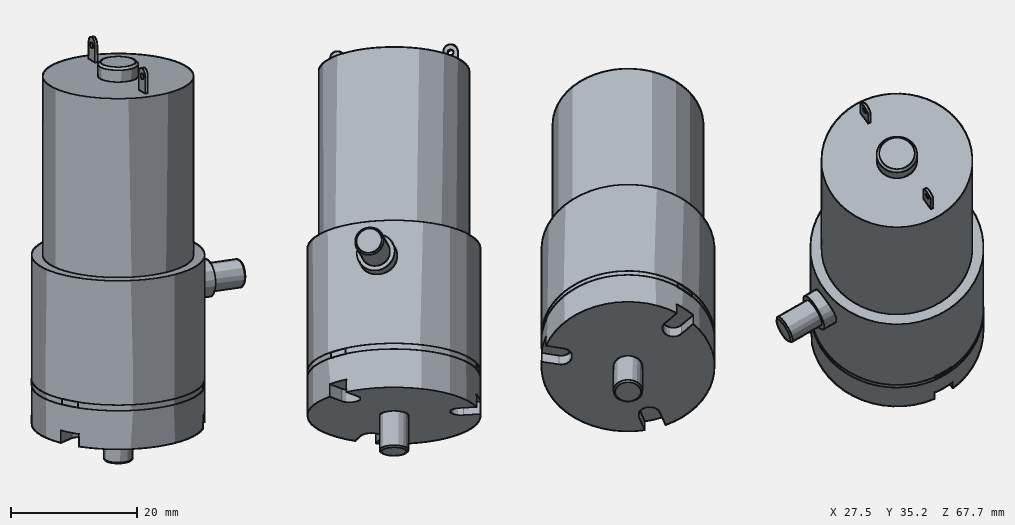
import cadquery as cq
import math

BASE_BOTTOM = 6.0
BASE_HEIGHT = 6.4
RING_HEIGHT = 0.95
HOUSING_HEIGHT = 20.65
MOTOR_HEIGHT = 29.7
TOTAL_HEIGHT = 67.7
RING_BOTTOM = BASE_BOTTOM + BASE_HEIGHT
HOUSING_BOTTOM = RING_BOTTOM + RING_HEIGHT
MOTOR_BOTTOM = HOUSING_BOTTOM + HOUSING_HEIGHT
MOTOR_TOP = MOTOR_BOTTOM + MOTOR_HEIGHT

BODY_DIAMETER = 27.5
BODY_RADIUS = BODY_DIAMETER / 2
MOTOR_DIAMETER = 23.95
BOSS_DIAMETER = 6.4
BOSS_HEIGHT = 2.4
BOSS_CHAMFER = 0.4
SPIGOT_DIAMETER = 4.6
SPIGOT_CHAMFER = 0.3

NOTCH_ANGLES = (60, 180, 300)
NOTCH_WIDTH = 3.45
NOTCH_HEIGHT = 2.1
NOTCH_END_CENTRE = 10.8
RECESS_WIDTH = 3.05
RECESS_DEPTH = 0.15

PORT_AXIS_HEIGHT = 28.1
PORT_REACH = 35.2 - BODY_RADIUS
COLLAR_DIAMETER = 6.1
COLLAR_REACH = 15.7

TERMINAL_WIDTH = 2.3
TERMINAL_THICKNESS = 0.5
TERMINAL_OFFSET = 9.15
TERMINAL_HOLE_DIAMETER = 0.95
TERMINAL_HOLE_DROP = 1.35


def cylinder(diameter, bottom, height):
    """Upright cylinder on the main axis."""
    return cq.Workplane("XY").workplane(offset=bottom).circle(diameter / 2).extrude(height)


def make_base():
    """Disc whose lower rim has radial notches with rounded inner ends."""
    base = cylinder(BODY_DIAMETER, BASE_BOTTOM, BASE_HEIGHT)
    straight_length = BODY_DIAMETER - NOTCH_END_CENTRE
    notch = (
        cq.Workplane("XY")
        .workplane(offset=BASE_BOTTOM)
        .center(NOTCH_END_CENTRE + straight_length / 2, 0)
        .slot2D(straight_length + NOTCH_WIDTH, NOTCH_WIDTH)
        .extrude(NOTCH_HEIGHT)
    )
    for angle in NOTCH_ANGLES:
        base = base.cut(notch.rotate((0, 0, 0), (0, 0, 1), angle))
    return base


def make_ring():
    """Thin disc with shallow, concentric recesses above the base notches."""
    ring = cylinder(BODY_DIAMETER, RING_BOTTOM, RING_HEIGHT)
    floor = cylinder(BODY_DIAMETER - 2 * RECESS_DEPTH, RING_BOTTOM, RING_HEIGHT)
    recess = (
        cq.Workplane("XY")
        .workplane(offset=RING_BOTTOM)
        .center(BODY_RADIUS, 0)
        .rect(BODY_RADIUS, RECESS_WIDTH)
        .extrude(RING_HEIGHT)
        .cut(floor)
    )
    for angle in NOTCH_ANGLES:
        ring = ring.cut(recess.rotate((0, 0, 0), (0, 0, 1), angle))
    return ring


def make_housing():
    return cylinder(BODY_DIAMETER, HOUSING_BOTTOM, HOUSING_HEIGHT)


def make_motor():
    """Motor can with a chamfered bearing boss on top."""
    boss = cylinder(BOSS_DIAMETER, MOTOR_TOP, BOSS_HEIGHT).faces(">Z").chamfer(BOSS_CHAMFER)
    return cylinder(MOTOR_DIAMETER, MOTOR_BOTTOM, MOTOR_HEIGHT).union(boss)


def make_lower_spigot():
    return cylinder(SPIGOT_DIAMETER, 0, BASE_BOTTOM).faces("<Z").chamfer(SPIGOT_CHAMFER)


def make_side_port(housing):
    """Stepped spigot along +Y whose collar is shaped to sit on the curved housing wall."""
    plane = cq.Plane(origin=(0, 0, PORT_AXIS_HEIGHT), xDir=(1, 0, 0), normal=(0, 1, 0))
    start = math.sqrt(BODY_RADIUS**2 - (COLLAR_DIAMETER / 2) ** 2)
    collar = (
        cq.Workplane(plane)
        .workplane(offset=start)
        .circle(COLLAR_DIAMETER / 2)
        .extrude(COLLAR_REACH - start)
    )
    spigot = (
        cq.Workplane(plane)
        .workplane(offset=COLLAR_REACH)
        .circle(SPIGOT_DIAMETER / 2)
        .extrude(PORT_REACH - COLLAR_REACH)
        .faces(">Y")
        .chamfer(SPIGOT_CHAMFER)
    )
    return collar.union(spigot).cut(housing)


def make_terminal(x):
    """Flat upright tab with a semicircular top and a cross hole."""
    half_width = TERMINAL_WIDTH / 2
    shoulder = TOTAL_HEIGHT - half_width
    tab = (
        cq.Workplane("XZ")
        .moveTo(x - half_width, MOTOR_TOP)
        .lineTo(x + half_width, MOTOR_TOP)
        .lineTo(x + half_width, shoulder)
        .threePointArc((x, TOTAL_HEIGHT), (x - half_width, shoulder))
        .close()
        .extrude(TERMINAL_THICKNESS / 2, both=True)
    )
    hole = (
        cq.Workplane("XZ")
        .center(x, TOTAL_HEIGHT - TERMINAL_HOLE_DROP)
        .circle(TERMINAL_HOLE_DIAMETER / 2)
        .extrude(TERMINAL_THICKNESS, both=True)
    )
    return tab.cut(hole)


base = make_base()
ring = make_ring()
housing = make_housing()
motor = make_motor()
lower_spigot = make_lower_spigot()
side_port = make_side_port(housing)
terminals = [make_terminal(side * TERMINAL_OFFSET) for side in (-1, 1)]

result = cq.Compound.makeCompound(
    [
        base.solids().val(),
        ring.solids().val(),
        housing.solids().val(),
        motor.solids().val(),
        lower_spigot.solids().val(),
        side_port.solids().val(),
        *[terminal.solids().val() for terminal in terminals],
    ]
)